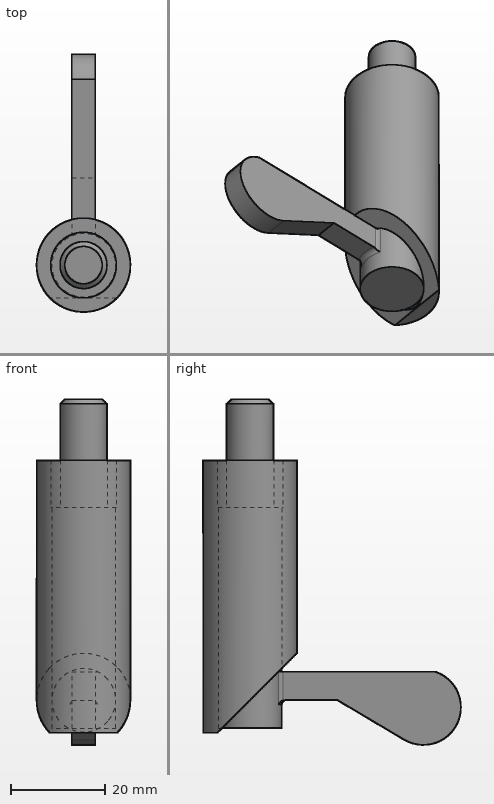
import cadquery as cq
import math


sleeve_radius = 10.0
sleeve_height = 58.0
cut_height = 17.0

bushing_radius = 7.0
bushing_height = 10.0
bushing_bottom = sleeve_height - bushing_height

core_radius = 6.8
core_bottom = 1.0
pin_radius = 5.0
pin_projection = 13.0
pin_chamfer = 1.0
pin_top = sleeve_height + pin_projection

lever_thickness = 5.0
lever_top = 13.0
neck_height = 6.0
neck_bottom = lever_top - neck_height
neck_end = 18.55
paddle_radius = 8.0
paddle_reach = 44.9
paddle_z = 5.45
paddle_y = paddle_reach - paddle_radius
root_fillet = 1.0


def cylinder(radius, bottom, top):
    return cq.Workplane("XY").workplane(offset=bottom).circle(radius).extrude(top - bottom)


def make_bushing():
    outer = cylinder(bushing_radius, bushing_bottom, sleeve_height)
    return outer.cut(cylinder(pin_radius, bushing_bottom, sleeve_height))


def make_lever():
    to_neck_y = neck_end - paddle_y
    to_neck_z = neck_bottom - paddle_z
    neck_distance = math.hypot(to_neck_y, to_neck_z)
    tangent_angle = math.atan2(to_neck_z, to_neck_y) + math.acos(paddle_radius / neck_distance)
    tangent_point = (
        paddle_y + paddle_radius * math.cos(tangent_angle),
        paddle_z + paddle_radius * math.sin(tangent_angle),
    )
    top_arc_y = paddle_y + math.sqrt(paddle_radius**2 - (lever_top - paddle_z) ** 2)
    return (
        cq.Workplane("YZ")
        .moveTo(0, lever_top)
        .lineTo(top_arc_y, lever_top)
        .threePointArc((paddle_reach, paddle_z), tangent_point)
        .lineTo(neck_end, neck_bottom)
        .lineTo(0, neck_bottom)
        .close()
        .extrude(lever_thickness / 2, both=True)
    )


def make_plunger():
    core = cylinder(core_radius, core_bottom, bushing_bottom)
    pin = cylinder(pin_radius, bushing_bottom, pin_top).faces(">Z").chamfer(pin_chamfer)
    plunger = core.union(make_lever())

    half_root = lever_thickness / 2 + root_fillet
    root_edges = cq.selectors.BoxSelector(
        (-half_root, pin_radius, neck_bottom - root_fillet),
        (half_root, core_radius + root_fillet, lever_top - root_fillet),
    )
    plunger = plunger.edges(root_edges).fillet(root_fillet)
    return plunger.union(pin)


def make_sleeve(plunger):
    sleeve = cylinder(sleeve_radius, 0, sleeve_height)
    sleeve = sleeve.cut(cylinder(core_radius, 0, bushing_bottom))
    sleeve = sleeve.cut(cylinder(bushing_radius, bushing_bottom, sleeve_height))

    slanted_corner = (
        cq.Workplane("YZ")
        .moveTo(sleeve_radius, cut_height)
        .lineTo(sleeve_radius - cut_height, 0)
        .lineTo(sleeve_radius, 0)
        .close()
        .extrude(sleeve_radius, both=True)
    )
    return sleeve.cut(slanted_corner).cut(plunger)


plunger = make_plunger()
bushing = make_bushing()
sleeve = make_sleeve(plunger)

bodies = [sleeve.solids().val(), bushing.solids().val(), plunger.solids().val()]
result = cq.Compound.makeCompound(bodies)